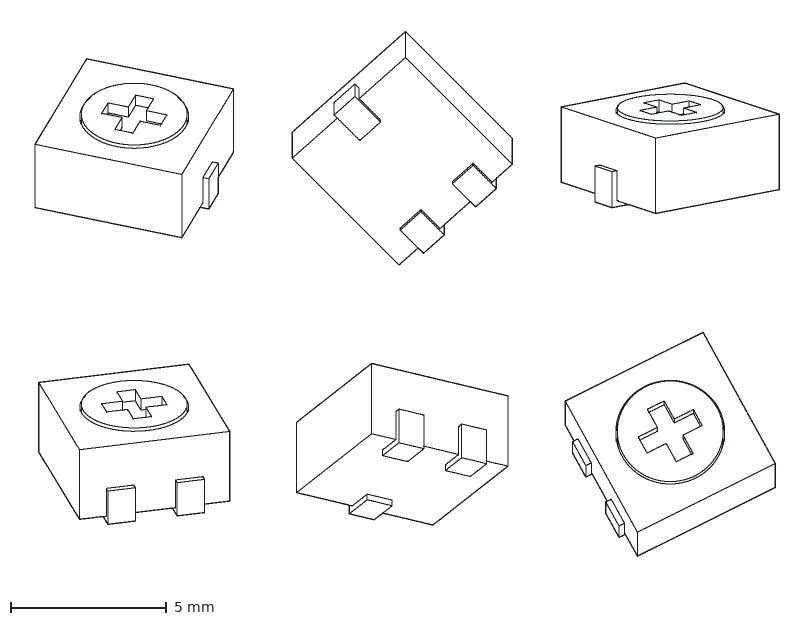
import cadquery as cq

overall_length = 5.4
housing_side = 5.0
overall_height = 2.8
rotor_projection = 0.095

terminal_thickness = (overall_length - housing_side) / 2
terminal_width = 0.92
terminal_height = 1.2
left_foot_length = 1.09
right_foot_length = 1.2
terminal_pitch = 2.3

recess_radius = 1.75
rotor_radius = 1.7
recess_depth = 0.5
slot_length = 2.0
slot_width = 0.61
slot_depth = 0.4

housing_bottom = terminal_thickness
housing_top = overall_height - rotor_projection
recess_floor = housing_top - recess_depth


def make_terminal(side, y, foot_length):
    """L-shaped terminal on the -X (side = -1) or +X (side = 1) wall."""
    outer_x = side * overall_length / 2
    wall_x = side * housing_side / 2
    foot_end_x = outer_x - side * foot_length
    return (
        cq.Workplane("XZ", origin=(0, y, 0))
        .moveTo(outer_x, 0)
        .lineTo(outer_x, terminal_height)
        .lineTo(wall_x, terminal_height)
        .lineTo(wall_x, housing_bottom)
        .lineTo(foot_end_x, housing_bottom)
        .lineTo(foot_end_x, 0)
        .close()
        .extrude(terminal_width / 2, both=True)
    )


def make_housing():
    """Square housing with a round rotor recess and three fused terminals."""
    housing = cq.Workplane("XY", origin=(0, 0, housing_bottom)).rect(housing_side, housing_side)
    housing = housing.extrude(housing_top - housing_bottom)
    recess = cq.Workplane("XY", origin=(0, 0, recess_floor)).circle(recess_radius).extrude(recess_depth)
    housing = housing.cut(recess)
    terminal_places = [
        (-1, -terminal_pitch / 2, left_foot_length),
        (-1, terminal_pitch / 2, left_foot_length),
        (1, 0, right_foot_length),
    ]
    for side, y, foot_length in terminal_places:
        housing = housing.union(make_terminal(side, y, foot_length))
    return housing


def make_rotor():
    """Disc standing on the recess floor, with a cross slot in its top."""
    rotor = cq.Workplane("XY", origin=(0, 0, recess_floor)).circle(rotor_radius)
    rotor = rotor.extrude(overall_height - recess_floor)
    slot_plane = cq.Workplane("XY", origin=(0, 0, overall_height))
    for length_x, length_y in [(slot_length, slot_width), (slot_width, slot_length)]:
        rotor = rotor.cut(slot_plane.rect(length_x, length_y).extrude(-slot_depth))
    return rotor


housing = make_housing()
rotor = make_rotor()
result = cq.Compound.makeCompound([housing.val(), rotor.val()])